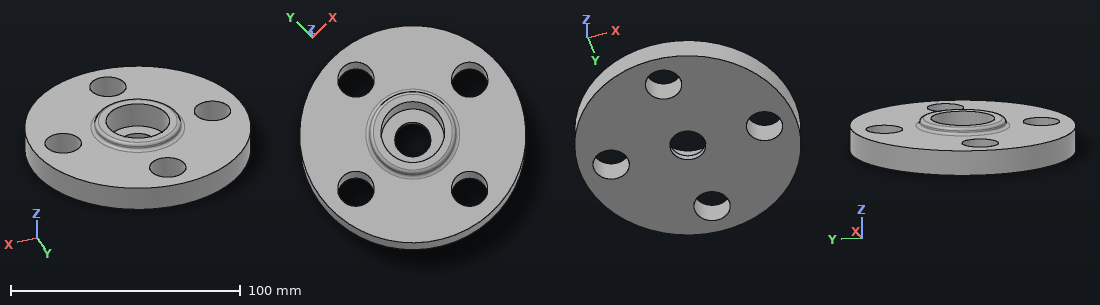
import cadquery as cq

flange_diameter = 98.5
flange_thickness = 11.0
total_height = 14.2

hub_height = total_height - flange_thickness
hub_base_diameter = 38.2
hub_taper_angle = 12.0
hub_round_radius = 1.6

socket_diameter = 27.6
socket_depth = 11.4
bore_diameter = 15.6

bolt_hole_count = 4
bolt_hole_diameter = 15.8
bolt_circle_diameter = 69.9


def make_flange_with_hub():
    flange = cq.Workplane("XY").circle(flange_diameter / 2).extrude(flange_thickness)
    hub = (
        cq.Workplane("XY", origin=(0, 0, flange_thickness))
        .circle(hub_base_diameter / 2)
        .extrude(hub_height, taper=hub_taper_angle)
    )
    hub_rim = hub.faces(">Z").edges()
    body = flange.union(hub_rim.fillet(hub_round_radius))
    hub_root = body.edges(cq.selectors.RadiusNthSelector(-2))
    return hub_root.fillet(hub_round_radius)


def cut_centre_hole(body):
    return body.faces(">Z").workplane().cboreHole(
        bore_diameter, socket_diameter, socket_depth
    )


def cut_bolt_holes(body):
    holes = (
        cq.Workplane("XY")
        .polarArray(bolt_circle_diameter / 2, 0, 360, bolt_hole_count)
        .circle(bolt_hole_diameter / 2)
        .extrude(flange_thickness)
    )
    return body.cut(holes)


result = cut_bolt_holes(cut_centre_hole(make_flange_with_hub()))